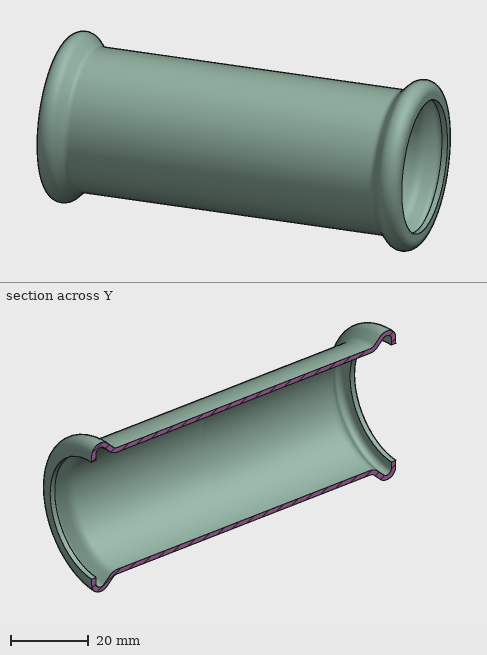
import cadquery as cq
import math

length = 99.0
tube_outer_diameter = 38.0
bead_outer_diameter = 44.7
wall = 1.5
bead_outer_radius = 3.0
neck_outer_radius = 2.0
flare_angle = math.radians(45)

tube_outer = tube_outer_diameter / 2
tube_inner = tube_outer - wall
mouth_radius = tube_inner
bead_inner_radius = bead_outer_radius - wall
neck_inner_radius = neck_outer_radius + wall
bead_u = bead_outer_radius
bead_r = bead_outer_diameter / 2 - bead_outer_radius
neck_r = tube_outer + neck_outer_radius

centre_gap = bead_outer_radius + neck_outer_radius
radial_part = (neck_r - bead_r) * math.cos(flare_angle)
neck_u = bead_u + (centre_gap - radial_part) / math.sin(flare_angle)


def bead_point(radius, angle):
    """Point on a bead section circle; the angle is measured from outward radial towards the tube."""
    return bead_u + radius * math.sin(angle), bead_r + radius * math.cos(angle)


def neck_point(radius, angle):
    """Point on a neck section circle; the angle is measured from inward radial towards the end."""
    return neck_u - radius * math.sin(angle), neck_r - radius * math.cos(angle)


def on_left(point):
    """Shift a point measured from the end face so that the sleeve is centred on the origin."""
    u, r = point
    return u - length / 2, r


def half_sleeve():
    """Left half of the sleeve: a constant-wall section with a flat end lip revolved about the X axis."""
    rim_angle = -math.pi / 2
    bead_middle = (rim_angle + flare_angle) / 2
    section = (
        cq.Workplane("XY")
        .moveTo(*on_left(bead_point(bead_outer_radius, rim_angle)))
        .threePointArc(
            on_left(bead_point(bead_outer_radius, bead_middle)),
            on_left(bead_point(bead_outer_radius, flare_angle)),
        )
        .lineTo(*on_left(neck_point(neck_outer_radius, flare_angle)))
        .threePointArc(
            on_left(neck_point(neck_outer_radius, flare_angle / 2)),
            on_left(neck_point(neck_outer_radius, 0)),
        )
        .lineTo(0, tube_outer)
        .lineTo(0, tube_inner)
        .lineTo(*on_left(neck_point(neck_inner_radius, 0)))
        .threePointArc(
            on_left(neck_point(neck_inner_radius, flare_angle / 2)),
            on_left(neck_point(neck_inner_radius, flare_angle)),
        )
        .lineTo(*on_left(bead_point(bead_inner_radius, flare_angle)))
        .threePointArc(
            on_left(bead_point(bead_inner_radius, bead_middle)),
            on_left(bead_point(bead_inner_radius, rim_angle)),
        )
        .lineTo(*on_left((wall, mouth_radius)))
        .lineTo(*on_left((0, mouth_radius)))
        .close()
    )
    return section.revolve(360, (0, 0, 0), (1, 0, 0))


left_half = half_sleeve()
right_half = left_half.mirror("YZ")
result = left_half.union(right_half)